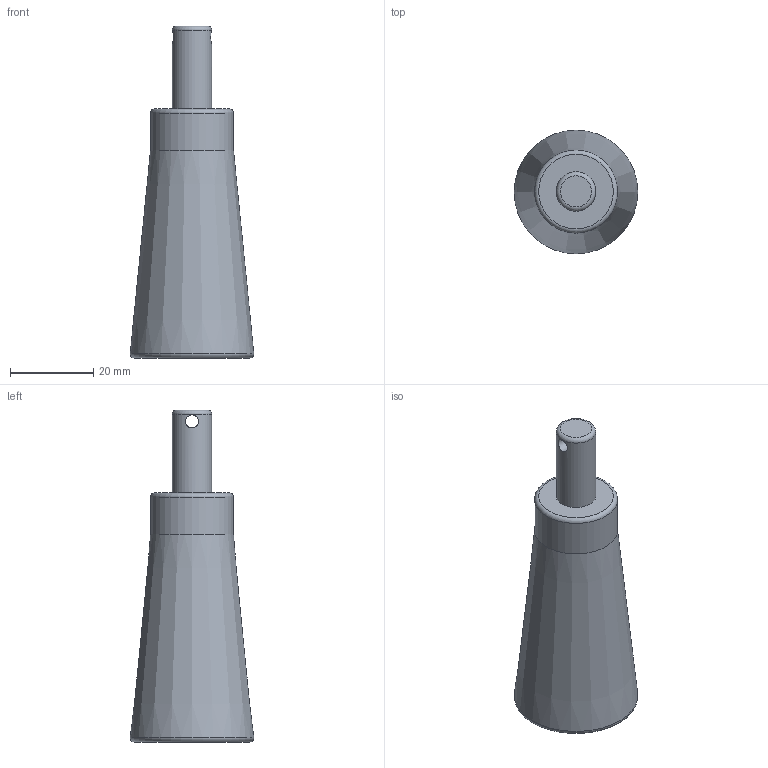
import cadquery as cq

grip_base_diameter = 30.0
collar_diameter = 20.0
taper_height = 50.0
collar_height = 10.0
grip_height = taper_height + collar_height

pin_diameter = 9.5
pin_length = 20.0
total_height = grip_height + pin_length

cross_hole_diameter = 3.17
cross_hole_depth_below_tip = 2.75

edge_radius = 1.0


def make_grip():
    """Cone narrowing upward into a straight collar, both ends rounded."""
    base_radius = grip_base_diameter / 2
    collar_radius = collar_diameter / 2
    profile = (
        cq.Workplane("XZ")
        .moveTo(0, 0)
        .lineTo(base_radius, 0)
        .lineTo(collar_radius, taper_height)
        .lineTo(collar_radius, grip_height)
        .lineTo(0, grip_height)
        .close()
    )
    grip = profile.revolve(360, (0, 0, 0), (0, 1, 0))
    return grip.faces("<Z or >Z").edges().fillet(edge_radius)


def make_pin():
    """Round pin on top of the collar, with a rounded tip."""
    pin = (
        cq.Workplane("XY")
        .workplane(offset=grip_height)
        .circle(pin_diameter / 2)
        .extrude(pin_length)
    )
    return pin.faces(">Z").edges().fillet(edge_radius)


def make_cross_hole():
    """Cylinder that cuts the hole through the full width of the pin."""
    hole_height = total_height - cross_hole_depth_below_tip
    return (
        cq.Workplane("YZ")
        .center(0, hole_height)
        .circle(cross_hole_diameter / 2)
        .extrude(pin_diameter, both=True)
    )


result = make_grip().union(make_pin()).cut(make_cross_hole())